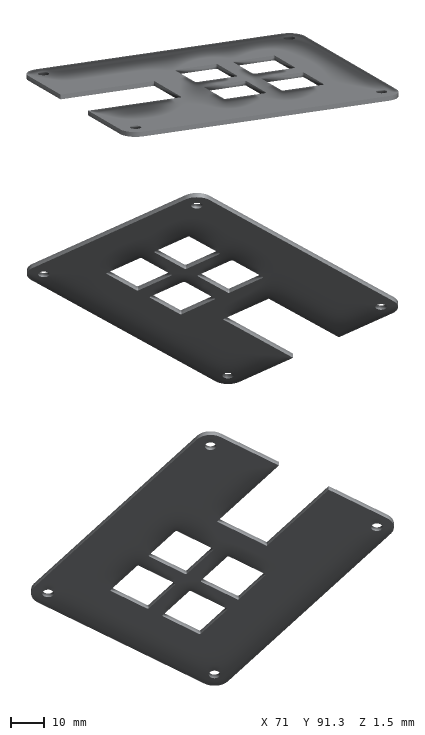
import cadquery as cq

plate_width = 71.0
plate_length = 91.3
plate_thickness = 1.5
corner_radius = 5.0

mount_hole_diameter = 3.4
mount_hole_inset = corner_radius

window_size = 14.0
window_pitch = 19.1
window_corner_radius = 0.5
window_grid_x = 0.0
window_grid_y = 12.2

notch_width = 18.25
notch_depth = 30.9
notch_x = 0.0


def make_blank():
    """Flat plate with rounded corners, centred on the origin in X and Y, bottom at Z = 0."""
    return (
        cq.Workplane("XY")
        .rect(plate_width, plate_length)
        .extrude(plate_thickness)
        .edges("|Z")
        .fillet(corner_radius)
    )


def make_mount_holes():
    """Cutters for the through hole in each corner."""
    return (
        cq.Workplane("XY")
        .rect(
            plate_width - 2 * mount_hole_inset,
            plate_length - 2 * mount_hole_inset,
            forConstruction=True,
        )
        .vertices()
        .circle(mount_hole_diameter / 2)
        .extrude(plate_thickness)
    )


def make_windows():
    """Cutters for the key windows."""
    return (
        cq.Workplane("XY")
        .center(window_grid_x, window_grid_y)
        .rarray(window_pitch, window_pitch, 2, 2)
        .rect(window_size, window_size)
        .extrude(plate_thickness)
        .edges("|Z")
        .fillet(window_corner_radius)
    )


def make_notch():
    """Cutter for the rectangular notch in the front edge."""
    notch_y = (notch_depth - plate_length) / 2
    return (
        cq.Workplane("XY")
        .center(notch_x, notch_y)
        .rect(notch_width, notch_depth)
        .extrude(plate_thickness)
    )


plate = make_blank().cut(make_mount_holes()).cut(make_windows()).cut(make_notch())

result = cq.Compound.makeCompound([plate.val()])